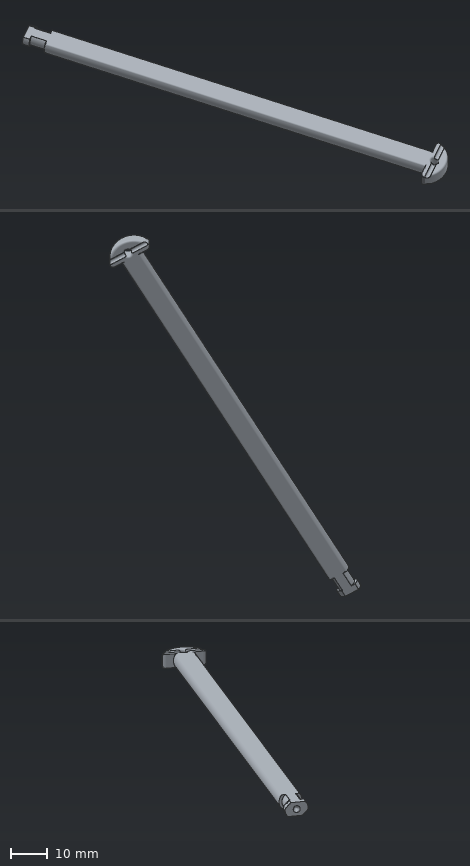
import cadquery as cq
import math

length = 122.5
thickness = 4.0
head_width = 12.2

rod_diameter = 6.5
rod_edge_radius = 0.5
neck_diameter = 4.9
neck_start = 2.0
neck_end = 6.4

key_bevel_angle = 45.0
key_corner_radius = 1.0
center_mark_diameter = 2.0
center_mark_depth = 1.0

head_start = 117.4
head_arc_radius = 6.6
head_corner_radius = 1.0
rim_radius = 0.6

groove_x = 119.2
groove_radius = 0.67
hole_diameter = 2.0
hole_x = 119.1
mouth_rounding = 0.6

half_thickness = thickness / 2
rod_radius = rod_diameter / 2


def flatted_bar(diameter, start, end):
    """Round bar along X, cut down to the common thickness by two flats."""
    bar = cq.Workplane("YZ").workplane(offset=start).circle(diameter / 2).extrude(end - start)
    slab = cq.Workplane("XY").box(length, head_width, thickness).translate((length / 2, 0, 0))
    return bar.intersect(slab)


def rod():
    """Long flatted rod with its flat edges slightly rounded."""
    return flatted_bar(rod_diameter, neck_end, head_start).edges("|X").fillet(rod_edge_radius)


def key_relief():
    """Material outside the bevelled and rounded +Y, +Z corner of the key."""
    bevel = math.radians(key_bevel_angle)
    arc_center_y = rod_radius - key_corner_radius
    half_bevel = bevel / 2
    tangent_y = arc_center_y + key_corner_radius * math.cos(bevel)
    tangent_z = key_corner_radius * math.sin(bevel)
    middle = (
        arc_center_y + key_corner_radius * math.cos(half_bevel),
        key_corner_radius * math.sin(half_bevel),
    )
    top_y = tangent_y - (thickness - tangent_z) / math.tan(bevel)
    return (
        cq.Workplane("YZ")
        .moveTo(rod_radius, 0)
        .threePointArc(middle, (tangent_y, tangent_z))
        .lineTo(top_y, thickness)
        .lineTo(thickness, thickness)
        .lineTo(thickness, 0)
        .close()
        .extrude(neck_start)
    )


def key():
    """Short flatted end with two diagonally opposite corners relieved, and a conical centre mark."""
    body = flatted_bar(rod_diameter, 0, neck_start)
    for turn in (0, 180):
        body = body.cut(key_relief().rotate((0, 0, 0), (1, 0, 0), turn))
    mark = cq.Solid.makeCone(
        center_mark_diameter / 2, 0, center_mark_depth, cq.Vector(0, 0, 0), cq.Vector(1, 0, 0)
    )
    return body.cut(cq.Workplane(obj=mark))


def head_blank():
    """Plate with a straight back and an arc front, with rounded corners and rim."""
    half_width = head_width / 2
    arc_center_x = length - head_arc_radius
    side_end = arc_center_x + math.sqrt(head_arc_radius**2 - half_width**2)
    return (
        cq.Workplane("XY")
        .workplane(offset=-half_thickness)
        .moveTo(head_start, -half_width)
        .lineTo(side_end, -half_width)
        .threePointArc((length, 0), (side_end, half_width))
        .lineTo(head_start, half_width)
        .close()
        .extrude(thickness)
        .edges("|Z and <X")
        .fillet(head_corner_radius)
        .edges("%CIRCLE and >X")
        .fillet(rim_radius)
    )


def groove():
    """Half-round cord groove across the top of the head."""
    return (
        cq.Workplane("XZ")
        .center(groove_x, half_thickness)
        .circle(groove_radius)
        .extrude(head_width, both=True)
    )


def head():
    body = head_blank()
    for turn in (0, 180):
        body = body.cut(groove().rotate((0, 0, 0), (1, 0, 0), turn))
    return body


def cord_hole():
    """Through hole along Z whose two mouths flare out with a quarter-round edge."""
    hole_radius = hole_diameter / 2
    mouth_radius = hole_radius + mouth_rounding
    flare_start = half_thickness - mouth_rounding
    arc_inset = mouth_rounding * math.sqrt(0.5)
    arc_middle_r = mouth_radius - arc_inset
    arc_middle_z = flare_start + arc_inset
    return (
        cq.Workplane("XZ")
        .moveTo(0, -half_thickness)
        .lineTo(mouth_radius, -half_thickness)
        .threePointArc((arc_middle_r, -arc_middle_z), (hole_radius, -flare_start))
        .lineTo(hole_radius, flare_start)
        .threePointArc((arc_middle_r, arc_middle_z), (mouth_radius, half_thickness))
        .lineTo(0, half_thickness)
        .close()
        .revolve(360, (0, 0, 0), (0, 1, 0))
        .translate((hole_x, 0, 0))
    )


result = (
    key()
    .union(flatted_bar(neck_diameter, neck_start, neck_end))
    .union(rod())
    .union(head())
    .clean()
    .cut(cord_hole())
)